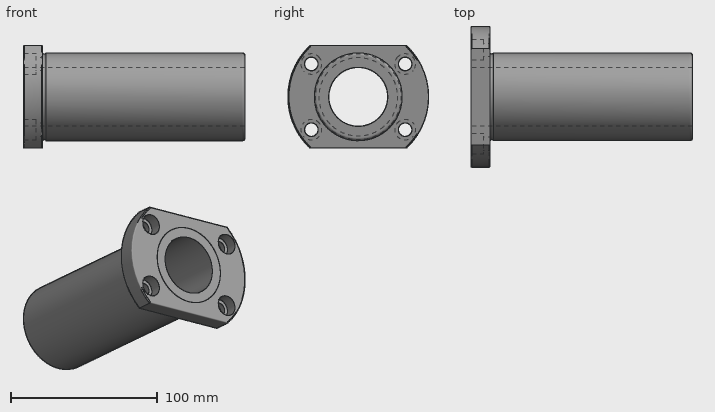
import cadquery as cq
import math

total_length = 151.0
flange_diameter = 96.0
flange_height = 70.0
flange_thickness = 13.0
flange_edge_fillet = 0.8

sleeve_diameter = 60.0
sleeve_end_fillet = 2.0
bore_diameter = 40.0

relief_width = 2.4
relief_depth = 0.8

seal_diameter = 53.5
seal_recess = 0.2

bolt_circle_diameter = 78.0
bolt_angle = 35.0
hole_diameter = 9.0
counterbore_diameter = 14.0
counterbore_depth = 8.6


def x_cylinder(diameter, x_start, length):
    """Solid cylinder along +X, centred on the part axis."""
    return cq.Workplane("YZ", origin=(x_start, 0, 0)).circle(diameter / 2).extrude(length)


def make_flange():
    """Round flange with a flat top and bottom and rounded face edges."""
    flange = x_cylinder(flange_diameter, 0, flange_thickness)
    flats = cq.Workplane("XY").box(4 * flange_thickness, flange_diameter, flange_height)
    return flange.intersect(flats).faces("<X or >X").edges().fillet(flange_edge_fillet)


def make_sleeve():
    """Plain sleeve, starting inside the flange, with a rounded free end."""
    sleeve = x_cylinder(sleeve_diameter, 0, total_length)
    return sleeve.faces(">X").edges().fillet(sleeve_end_fillet)


def make_relief_ring():
    """Ring with an arc section that is cut from the sleeve next to the flange."""
    sleeve_radius = sleeve_diameter / 2
    relief_end = flange_thickness + relief_width
    relief_middle = flange_thickness + relief_width / 2
    section = (
        cq.Workplane("XY")
        .moveTo(flange_thickness, sleeve_radius)
        .threePointArc((relief_middle, sleeve_radius - relief_depth), (relief_end, sleeve_radius))
        .close()
    )
    return section.revolve(360, (0, 0, 0), (1, 0, 0))


def cut_mounting_holes(body):
    """Four through holes, counterbored from the outer flange face."""
    y_offset = bolt_circle_diameter / 2 * math.cos(math.radians(bolt_angle))
    z_offset = bolt_circle_diameter / 2 * math.sin(math.radians(bolt_angle))
    positions = [(y, z) for y in (-y_offset, y_offset) for z in (-z_offset, z_offset)]
    holes = cq.Workplane("YZ").pushPoints(positions)
    body = body.cut(holes.circle(hole_diameter / 2).extrude(flange_thickness))
    return body.cut(holes.circle(counterbore_diameter / 2).extrude(counterbore_depth))


body = make_flange().union(make_sleeve())
body = body.cut(make_relief_ring())
body = body.cut(x_cylinder(bore_diameter, 0, total_length))
body = body.cut(x_cylinder(seal_diameter, 0, seal_recess))
result = cut_mounting_holes(body)